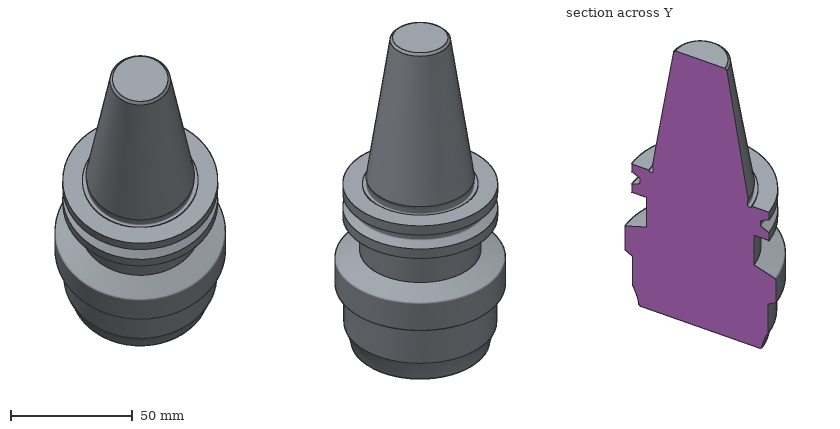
import cadquery as cq

total_height = 149.4
gauge_height = 81.0
collar_ledge_height = 79.5
flange_top = 77.8
flange_bottom = 61.9
groove_center = 69.9
neck_bottom = 45.5
body_top = 42.0
body_bottom = 28.5
sleeve_top = 26.3
sleeve_bottom = 10.2

gauge_radius = 22.3
collar_radius = 22.0
recess_radius = 23.8
flange_radius = 31.8
groove_radius = 28.1
neck_radius = 25.0
body_radius = 70.0 / 2
sleeve_radius = 62.9 / 2
nose_radius = 28.5

taper_slope = 7 / 48
taper_chamfer = 1.0
recess_depth = 0.9
groove_floor_width = 3.0
groove_mouth_width = 6.9
nose_chamfer = 0.7
rim_fillet = 0.9
groove_fillet = 0.6
recess_fillet = 0.6
nose_sag = 0.5

taper_edge_height = total_height - taper_chamfer
taper_tip_radius = gauge_radius - taper_slope * (taper_edge_height - gauge_height)
nose_mid_radius = (sleeve_radius + nose_radius) / 2 - nose_sag
nose_mid_height = (sleeve_bottom + nose_chamfer) / 2


def holder_body():
    """Solid of revolution from the nose face up to the tip of the taper."""
    profile = (
        cq.Workplane("XZ")
        .moveTo(0, 0)
        .lineTo(nose_radius - nose_chamfer, 0)
        .lineTo(nose_radius, nose_chamfer)
        .threePointArc((nose_mid_radius, nose_mid_height), (sleeve_radius, sleeve_bottom))
        .lineTo(sleeve_radius, sleeve_top)
        .lineTo(body_radius, body_bottom)
        .lineTo(body_radius, body_top)
        .lineTo(neck_radius, neck_bottom)
        .lineTo(neck_radius, flange_bottom)
        .lineTo(flange_radius, flange_bottom)
        .lineTo(flange_radius, flange_top)
        .lineTo(collar_radius, flange_top)
        .lineTo(collar_radius, collar_ledge_height)
        .lineTo(gauge_radius, gauge_height)
        .lineTo(taper_tip_radius, taper_edge_height)
        .lineTo(taper_tip_radius - taper_chamfer, total_height)
        .lineTo(0, total_height)
        .close()
    )
    solid = profile.revolve(360, (0, 0, 0), (0, 1, 0))
    rim_edges = cq.selectors.RadiusNthSelector(-1)
    return solid.edges(rim_edges).fillet(rim_fillet)


def gripper_groove():
    """Ring with sloping sides, cut around the rim of the flange."""
    half_floor = groove_floor_width / 2
    half_mouth = groove_mouth_width / 2
    profile = (
        cq.Workplane("XZ")
        .moveTo(groove_radius, groove_center - half_floor)
        .lineTo(flange_radius, groove_center - half_mouth)
        .lineTo(flange_radius, groove_center + half_mouth)
        .lineTo(groove_radius, groove_center + half_floor)
        .close()
    )
    ring = profile.revolve(360, (0, 0, 0), (0, 1, 0))
    floor_edges = cq.selectors.RadiusNthSelector(0)
    return ring.edges(floor_edges).fillet(groove_fillet)


def collar_recess():
    """Shallow ring sunk into the flange face around the collar."""
    ring = (
        cq.Workplane("XY")
        .workplane(offset=flange_top - recess_depth)
        .circle(recess_radius)
        .circle(collar_radius)
        .extrude(recess_depth)
    )
    return ring.faces("<Z").edges().fillet(recess_fillet)


result = holder_body().cut(gripper_groove()).cut(collar_recess())